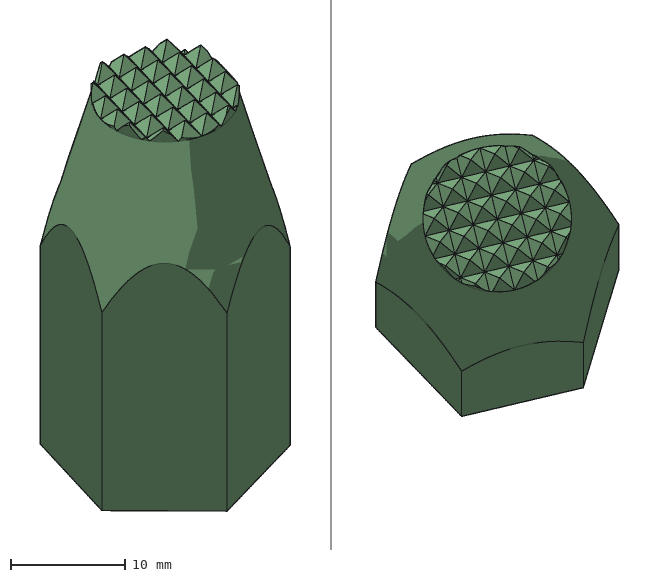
import cadquery as cq
import math

total_height = 40.0
across_flats = 18.95
tip_diameter = 13.0
cone_half_angle = 15.0
tooth_height = 1.45
teeth_across = 6

across_corners = across_flats / math.cos(math.radians(30))
corner_radius = across_corners / 2
tip_radius = tip_diameter / 2
tooth_pitch = tip_diameter / teeth_across
tooth_base_z = total_height - tooth_height
cone_height = (corner_radius - tip_radius) / math.tan(math.radians(cone_half_angle))
cone_base_z = tooth_base_z - cone_height


def turned_envelope():
    """Round blank: straight shank, tapered nose and a short cylinder for the teeth."""
    half_profile = [
        (0, 0),
        (corner_radius, 0),
        (corner_radius, cone_base_z),
        (tip_radius, tooth_base_z),
        (tip_radius, total_height),
        (0, total_height),
    ]
    return cq.Workplane("XZ").polyline(half_profile).close().revolve(360, (0, 0), (0, 1))


def hexagonal_bar():
    """Hexagonal bar with two of its corners on the X axis."""
    return cq.Workplane("XY").polygon(6, across_corners).extrude(total_height)


def tooth_grooves(plane):
    """Parallel V grooves whose flanks meet at the tooth crests, running along the plane's normal."""
    grooves = cq.Workplane(plane)
    for index in range(teeth_across + 1):
        valley = (index - teeth_across / 2) * tooth_pitch
        groove_outline = [
            (valley, tooth_base_z),
            (valley + tooth_pitch / 2, total_height),
            (valley - tooth_pitch / 2, total_height),
        ]
        grooves = grooves.polyline(groove_outline).close()
    return grooves.extrude(across_corners / 2, both=True)


body = hexagonal_bar().intersect(turned_envelope())

result = body.cut(tooth_grooves("XZ")).cut(tooth_grooves("YZ"))